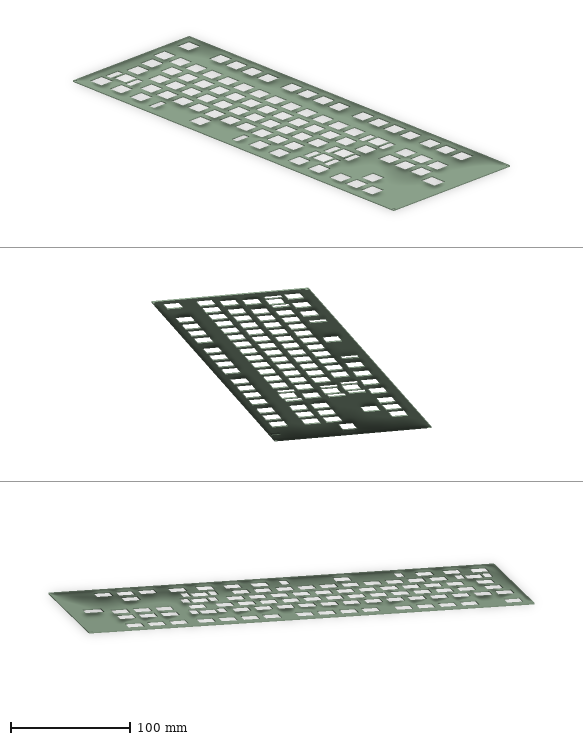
import cadquery as cq

length = 387.0
width = 137.0
thickness = 1.0
corner_radius = 1.0
mount_hole_diameter = 3.0
mount_hole_inset = 1.75

key_block_span = 328.5
last_column = 17.25
pitch = key_block_span / last_column
keycap_border = 5.5
first_key_x = -length / 2 + keycap_border + pitch / 2
first_key_y = width / 2 - keycap_border - pitch / 2

switch_bridge = 5.0
switch_size = pitch - switch_bridge

stabilizer_width = 7.0
stabilizer_height = 15.0
stabilizer_drop = 1.5
short_stabilizer_reach = 12.0
long_stabilizer_reach = 50.0

window_length = 16.3
window_height = 12.8
window_x = 172.0
window_y = -1.0

pocket_length = 5.5
pocket_height = 8.5
pocket_depth = thickness / 2
pocket_x = 174.0
pocket_y = 62.7

function_row = 0
number_row = 1.5
upper_row, home_row, lower_row, bottom_row = [number_row + step for step in (1, 2, 3, 4)]

navigation_columns = [last_column - step for step in (2, 1, 0)]
function_group_columns = (2, 6.5, 11)
modifier_step = 1.25
backspace = (13.5, number_row)
enter = (13.375, home_row)
left_shift = (0.625, lower_row)
right_shift = (13.125, lower_row)
space_bar = (6.375, bottom_row)
up_arrow = (navigation_columns[1], lower_row)


def key_run(first_column, count, row, step=1):
    """Evenly spaced keys along one row."""
    return [(first_column + step * i, row) for i in range(count)]


def grid_point(key):
    """Centre of a key on the plate."""
    column, row = key
    return (first_key_x + column * pitch, first_key_y - row * pitch)


def stabilizer_points(key, reach):
    """Centres of the two stabilizer slots beside a wide key."""
    x, y = grid_point(key)
    return [(x + side * reach, y - stabilizer_drop) for side in (-1, 1)]


def rectangular_cutters(points, size_x, size_y, depth=thickness):
    """Boxes rising from the underside of the plate, centred on the given points."""
    return cq.Workplane("XY").pushPoints(points).rect(size_x, size_y).extrude(depth)


def key_positions():
    """Every switch on the board, as (column, row) pairs."""
    keys = [(0, function_row)]
    for first_column in function_group_columns:
        keys += key_run(first_column, 4, function_row)
    keys += key_run(0, 13, number_row) + [backspace]
    keys += [(0.25, upper_row)] + key_run(1.5, 12, upper_row) + [(13.75, upper_row)]
    keys += [(0.375, home_row)] + key_run(1.75, 11, home_row) + [enter]
    keys += [left_shift] + key_run(2.25, 10, lower_row) + [right_shift, up_arrow]
    keys += key_run(0.125, 3, bottom_row, modifier_step) + [space_bar]
    keys += key_run(10.125, 4, bottom_row, modifier_step)
    for row in (function_row, number_row, upper_row, bottom_row):
        keys += [(column, row) for column in navigation_columns]
    return keys


def stabilizer_positions():
    """Centres of all stabilizer slots."""
    points = stabilizer_points(space_bar, long_stabilizer_reach)
    for wide_key in (backspace, enter, left_shift, right_shift):
        points += stabilizer_points(wide_key, short_stabilizer_reach)
    return points


plate = cq.Workplane("XY").rect(length, width).extrude(thickness)
plate = plate.edges("|Z").fillet(corner_radius)
plate = (
    plate.faces(">Z")
    .workplane()
    .rect(length - 2 * mount_hole_inset, width - 2 * mount_hole_inset, forConstruction=True)
    .vertices()
    .hole(mount_hole_diameter)
)

switch_points = [grid_point(key) for key in key_positions()]
plate = plate.cut(rectangular_cutters(switch_points, switch_size, switch_size))
plate = plate.cut(rectangular_cutters(stabilizer_positions(), stabilizer_width, stabilizer_height))
plate = plate.cut(rectangular_cutters([(window_x, window_y)], window_length, window_height))

plate = plate.cut(rectangular_cutters([(pocket_x, pocket_y)], pocket_length, pocket_height, pocket_depth))

result = plate